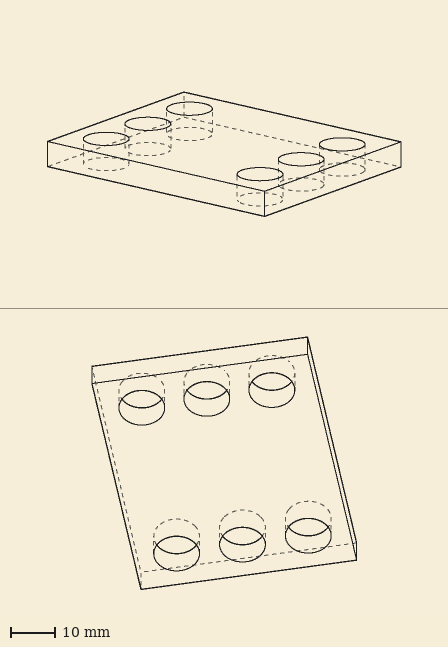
import cadquery as cq

length = 63.0
width = 49.75
thickness = 6.0

hole_diameter = 10.4
column_spacing = 44.6
holes_per_column = 3
front_row_y = -15.0
left_pitch = 15.2
right_pitch = 15.0


def column_points(x, pitch):
    """Hole centres of one column, from the front row towards +Y."""
    return [(x, front_row_y + row * pitch) for row in range(holes_per_column)]


hole_points = column_points(-column_spacing / 2, left_pitch) + column_points(column_spacing / 2, right_pitch)

result = (
    cq.Workplane("XY")
    .box(length, width, thickness)
    .faces(">Z")
    .workplane(origin=(0, 0, 0))
    .pushPoints(hole_points)
    .hole(hole_diameter)
)